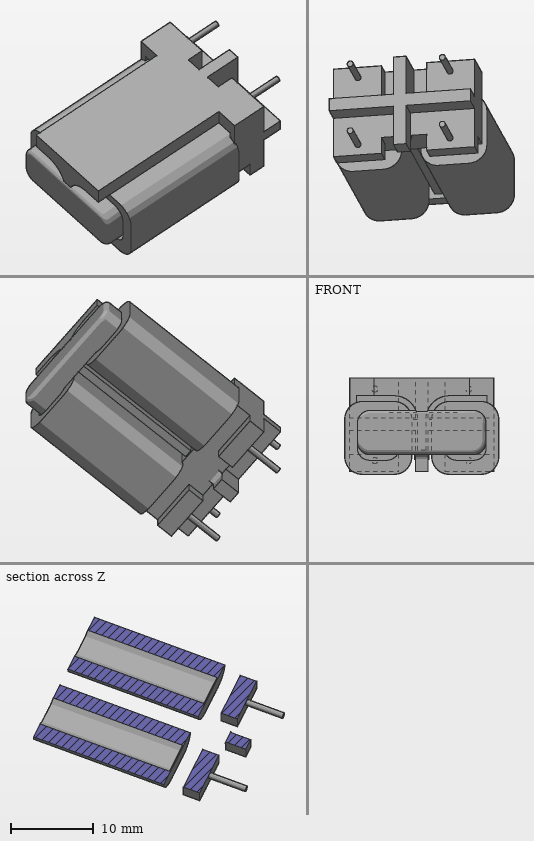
import cadquery as cq
import math


TOP_Z = 11.67
PIN_TIP_Y = 28.82

WINDING_OUTER_X = 9.32
WINDING_INNER_X = 1.19
WINDING_HEIGHT = 8.83
WINDING_RADIUS = 2.18
WINDING_FRONT_Y = 2.36
WINDING_BACK_Y = 19.55
WINDOW_SIDE_WALL = 1.53
WINDOW_FLOOR_WALL = 1.72
WINDOW_RADIUS = 1.5

winding_width = WINDING_OUTER_X - WINDING_INNER_X
winding_center_x = (WINDING_OUTER_X + WINDING_INNER_X) / 2
winding_center_z = WINDING_HEIGHT / 2
window_width = winding_width - 2 * WINDOW_SIDE_WALL
window_height = WINDING_HEIGHT - 2 * WINDOW_FLOOR_WALL

CORE_BOTTOM_Z = 2.4
CORE_TOP_Z = 7.76
CORE_RADIUS = 1.6
CAP_EDGE_RADIUS = 0.57
CAP_GROOVE_LENGTH = 8.8
CAP_GROOVE_FRONT_Y = 1.35
CAP_GROOVE_DEPTH = 0.25

core_width = 2 * (WINDING_OUTER_X - WINDOW_SIDE_WALL)
core_height = CORE_TOP_Z - CORE_BOTTOM_Z
core_center_z = (CORE_TOP_Z + CORE_BOTTOM_Z) / 2

BLOCK_WIDTH = 17.4
BLOCK_BOTTOM_Z = 0.35
BLOCK_FRONT_Y = 19.36
BLOCK_BACK_Y = 24.0
FOOT_FRONT_Y = 21.82
RIB_BACK_Y = 26.64
CENTER_RIB_WIDTH = 1.56
CROSS_RIB_BOTTOM_Z = 5.3
CROSS_RIB_TOP_Z = 6.86
WIRE_SLOT_WIDTH = 2.0
RIB_FILLET_WIDTH = 1.77
RIB_FILLET_RADIUS = 0.6

PLATE_WIDTH = 11.54
PLATE_FRONT_Y = 0.2
WINDING_CLEARANCE = 0.7
RECESS_WIDTH = 15.74
RECESS_DEPTH = 1.0

clearance_radius = WINDING_RADIUS + WINDING_CLEARANCE
plate_bottom_z = WINDING_HEIGHT + WINDING_CLEARANCE
arc_center_x = WINDING_INNER_X + WINDING_RADIUS
arc_center_z = WINDING_HEIGHT - WINDING_RADIUS
web_half_width = arc_center_x - clearance_radius
web_bottom_z = CORE_BOTTOM_Z + CAP_EDGE_RADIUS

PIN_RADIUS = 0.37
PIN_X = 5.67
PIN_LOWER_Z = 1.69
PIN_UPPER_Z = 10.33


def box(width, y_front, y_back, z_bottom, z_top, x_center=0.0):
    """Block centred on x_center, spanning the given Y and Z ranges."""
    return (
        cq.Workplane("XY")
        .box(width, y_back - y_front, z_top - z_bottom, centered=(True, False, False))
        .translate((x_center, y_front, z_bottom))
    )


def rounded_bar(width, height, radius, x_center, z_center, y_front, y_back):
    """Bar along Y with a rounded rectangular section."""
    return (
        cq.Workplane("XY")
        .box(width, y_back - y_front, height, centered=(True, False, True))
        .edges("|Y")
        .fillet(radius)
        .translate((x_center, y_front, z_center))
    )


def winding_envelope(side, y_back):
    """Solid outside shape of one winding."""
    return rounded_bar(
        winding_width, WINDING_HEIGHT, WINDING_RADIUS,
        side * winding_center_x, winding_center_z, WINDING_FRONT_Y, y_back,
    )


def winding(side):
    """One winding: a tube open at the front, closed at the back by the terminal block."""
    window = rounded_bar(
        window_width, window_height, WINDOW_RADIUS,
        side * winding_center_x, winding_center_z, WINDING_FRONT_Y, BLOCK_FRONT_Y,
    )
    return winding_envelope(side, WINDING_BACK_Y).cut(window)


def cap_groove():
    """Shallow rounded groove along X in the top of the cap, next to the windings."""
    groove_middle = ((CAP_GROOVE_FRONT_Y + WINDING_FRONT_Y) / 2, CORE_TOP_Z - CAP_GROOVE_DEPTH)
    return (
        cq.Workplane("YZ", origin=(-CAP_GROOVE_LENGTH / 2, 0, 0))
        .moveTo(CAP_GROOVE_FRONT_Y, CORE_TOP_Z)
        .threePointArc(groove_middle, (WINDING_FRONT_Y, CORE_TOP_Z))
        .close()
        .extrude(CAP_GROOVE_LENGTH)
    )


def end_cap():
    """Cap across the front of both windings, with a rounded front rim and a top groove."""
    cap = rounded_bar(
        core_width, core_height, CORE_RADIUS, 0, core_center_z, 0, WINDING_FRONT_Y
    )
    return cap.faces("<Y").edges().fillet(CAP_EDGE_RADIUS).cut(cap_groove())


def core_leg(side):
    """Core inside one winding, with the outer corners of the end cap."""
    core = rounded_bar(
        core_width, core_height, CORE_RADIUS, 0, core_center_z, WINDING_FRONT_Y, BLOCK_FRONT_Y
    )
    window_span = box(
        window_width, WINDING_FRONT_Y, BLOCK_FRONT_Y, 0, TOP_Z, side * winding_center_x
    )
    return core.intersect(window_span)


def cover_plate(y_back):
    """Plate and web; the arcs keep an even clearance around the windings."""
    arc_offset = clearance_radius * math.sin(math.pi / 4)
    arc_middle = (arc_center_x - arc_offset, arc_center_z + arc_offset)
    return (
        cq.Workplane("XZ", origin=(0, y_back, 0))
        .moveTo(0, TOP_Z)
        .lineTo(PLATE_WIDTH / 2, TOP_Z)
        .lineTo(PLATE_WIDTH / 2, plate_bottom_z)
        .lineTo(arc_center_x, plate_bottom_z)
        .threePointArc(arc_middle, (web_half_width, arc_center_z))
        .lineTo(web_half_width, web_bottom_z)
        .lineTo(0, web_bottom_z)
        .mirrorY()
        .extrude(y_back - PLATE_FRONT_Y)
    )


def clearance_recess():
    """Gap above the windings, continued into the front of the terminal block."""
    recess_back_y = BLOCK_FRONT_Y + RECESS_DEPTH
    recess = box(RECESS_WIDTH, BLOCK_FRONT_Y, recess_back_y, arc_center_z, plate_bottom_z)
    recess = recess.cut(cover_plate(recess_back_y))
    for side in (-1, 1):
        recess = recess.cut(winding_envelope(side, recess_back_y))
    return recess


def rib_fillet():
    """Concave fillet between the underside of the block and the front of the centre rib."""
    corner_y = BLOCK_BACK_Y - RIB_FILLET_RADIUS
    corner_z = CORE_BOTTOM_Z - RIB_FILLET_RADIUS
    corner = box(RIB_FILLET_WIDTH, corner_y, BLOCK_BACK_Y, corner_z, CORE_BOTTOM_Z)
    hollow = (
        cq.Workplane("YZ", origin=(-RIB_FILLET_WIDTH / 2, corner_y, corner_z))
        .circle(RIB_FILLET_RADIUS)
        .extrude(RIB_FILLET_WIDTH)
    )
    return corner.cut(hollow)


def terminal_block():
    """Block with two feet, crossed rear ribs and a wire slot on each side of the centre rib."""
    block = box(BLOCK_WIDTH, BLOCK_FRONT_Y, BLOCK_BACK_Y, CORE_BOTTOM_Z, TOP_Z)
    block = block.cut(clearance_recess())
    slot_x = (CENTER_RIB_WIDTH + WIRE_SLOT_WIDTH) / 2
    foot_inner_x = CENTER_RIB_WIDTH / 2 + WIRE_SLOT_WIDTH
    foot_width = BLOCK_WIDTH / 2 - foot_inner_x
    foot_x = (BLOCK_WIDTH / 2 + foot_inner_x) / 2
    for side in (-1, 1):
        slot = box(
            WIRE_SLOT_WIDTH, FOOT_FRONT_Y, BLOCK_BACK_Y, CORE_TOP_Z, TOP_Z, side * slot_x
        )
        foot = box(
            foot_width, FOOT_FRONT_Y, BLOCK_BACK_Y, BLOCK_BOTTOM_Z, CORE_BOTTOM_Z, side * foot_x
        )
        block = block.cut(slot).union(foot)
    center_rib = box(CENTER_RIB_WIDTH, BLOCK_BACK_Y, RIB_BACK_Y, BLOCK_BOTTOM_Z, TOP_Z)
    cross_rib = box(BLOCK_WIDTH, BLOCK_BACK_Y, RIB_BACK_Y, CROSS_RIB_BOTTOM_Z, CROSS_RIB_TOP_Z)
    return block.union(center_rib).union(cross_rib).union(rib_fillet())


def pin(x, z):
    """Round terminal pin projecting from the rear of the block."""
    return (
        cq.Workplane("XZ", origin=(x, PIN_TIP_Y, z))
        .circle(PIN_RADIUS)
        .extrude(PIN_TIP_Y - BLOCK_BACK_Y)
    )


result = terminal_block().union(cover_plate(BLOCK_FRONT_Y)).union(end_cap())
for side in (-1, 1):
    result = result.union(winding(side)).union(core_leg(side))
    for pin_z in (PIN_LOWER_Z, PIN_UPPER_Z):
        result = result.union(pin(side * PIN_X, pin_z))